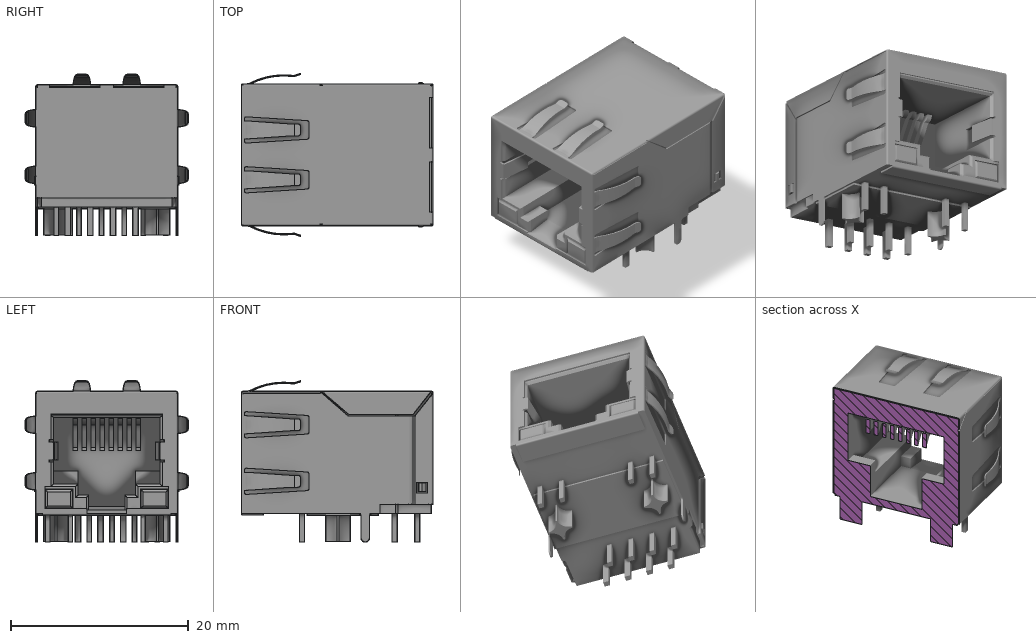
import cadquery as cq
import math


LENGTH = 21.6
WIDTH = 16.01
HEIGHT = 13.79
SHEET = 0.2
BEND_RADIUS = 0.22
PIN_BOTTOM = -3.22

HALF_WIDTH = WIDTH / 2
INNER_HALF = HALF_WIDTH - SHEET
INNER_TOP = HEIGHT - SHEET
INNER_REAR = LENGTH - SHEET
SIDES = (-1, 1)

REAR_CUT_X = 15.62
REAR_CUT_Z = 1.04

SEAM = 0.15
FLAP_FRONT_X = 8.85
FLAP_CORNER_X = 12.04
FLAP_REAR_CORNER_X = 19.35
FLAP_BOTTOM_Z = 11.15
FRONT_SEAM = 0.06

JOGGLE_START_X = 18.9
JOGGLE_BEND_X = 19.1
JOGGLE_BEND_DROP = 0.05
JOGGLE_END_X = 19.36
REAR_FLAP_X = 19.55
OVERLAP_END_X = 21.1

SNAP_WINDOW_X = 19.75
SNAP_WINDOW_Z = 2.31
SNAP_WINDOW_SIZE = 1.2
SNAP_BOTTOM_Z = 2.46
SNAP_HEIGHT = 1.0
SNAP_X = 19.9
SNAP_CREST_X = 20.01
SNAP_CREST_END_X = 20.34
SNAP_END_X = 20.79
SNAP_RISE = 0.35

FINGER_SIDE_Z = (10.0, 3.63)
FINGER_TOP_Y = (-2.8, 2.8)
FINGER_SHEET = 0.13
FINGER_TIP_RISE = 1.19
FINGER_ROOT_X = 0.65
FINGER_ROOT_HALF = 1.02
FINGER_BOW_X = 1.0
FINGER_BOW_RISE = 0.09
FINGER_MIDDLE_X = 2.8
FINGER_MIDDLE_RISE = 0.78
FINGER_NECK_X = 5.58
FINGER_NECK_RISE = 0.97
FINGER_DIP_X = 5.96
FINGER_DIP_RISE = 0.95
FINGER_TIP_X = 6.68
FINGER_TIP_HALF = 0.67
FINGER_TIP_RADIUS = 0.3
FINGER_WINDOW_FRONT_X = 0.35
FINGER_WINDOW_REAR_X = 7.6
FINGER_WINDOW_FRONT_HALF = 1.5
FINGER_WINDOW_REAR_HALF = 1.04
FINGER_WINDOW_RADIUS = 0.22

OPENING_HALF = 6.29
OPENING_TOP = 11.24
LIGHT_HALF = 6.98
LIGHT_INNER = 3.8
LIGHT_BOTTOM = 0.55
LIGHT_TOP = 2.75
OPENING_SHOULDER = 3.03
MOUTH_CHAMFER = 0.25
CAVITY_HALF = OPENING_HALF - MOUTH_CHAMFER
CAVITY_TOP = 10.83
LEDGE_Z = 3.3
LEDGE_HALF = 3.25
STEP_Z = 2.07
STEP_HALF = 2.03
FLOOR_Z = 0.8
RAMP_FRONT_Z = 0.39
STEP_LENGTH = 3.1
SHOULDER_X = 9.5
SHOULDER_Z = 4.78
CAVITY_REAR_X = 12.1

TONGUE_BOTTOM = 6.05
TONGUE_TOP = 8.05
TONGUE_RELIEF = 0.25
TONGUE_RELIEF_HALF = 6.48
TONGUE_LENGTH = 3.45
TONGUE_ROOT_X = 0.06
TONGUE_ROOT_Y = 5.88
TONGUE_TIP_Y = 5.47
TONGUE_SLOT_END_X = 5.62

LIGHT_GAP = 0.06
LIGHT_BEVEL = 0.24
LIGHT_POCKET_X = 0.55

CONTACT_COUNT = 8
CONTACT_PITCH = 1.02
CONTACT_WIDTH = 0.55
CONTACT_TOP = 10.72
CONTACT_TIP_Z = 7.13
CONTACT_TIP_HEIGHT = 0.3
CONTACT_BEND = 0.73
CONTACT_FRONT_X = 9.3
CONTACT_TIP_X = 11.78

WAIST_X = 17.4
WAIST_END_X = 17.68
WAIST_DEPTH = 0.45
PAD_FRONT_X = 7.41
PAD_REAR_X = 15.43
PAD_HALF = 7.74
PAD_THICKNESS = 0.22
POST_X = 10.9
POST_Y = 5.7
POST_RADIUS = 1.4
POST_RIB = 0.22
POST_BOTTOM = -3.15

PIN_LENGTH_X = 0.6
LIGHT_PIN_X = 6.83
LIGHT_PIN_Y = (4.1, 6.65)
LIGHT_PIN_WIDTH = 0.52
FRONT_ROW_X = 17.27
FRONT_ROW_Y = 1.97
FRONT_ROW_WIDTH = 0.55
REAR_ROW_X = 19.82
REAR_ROW_Y = 3.25
REAR_ROW_WIDTH = 0.65
ROW_PITCH = 2.55
PINS_PER_ROW = 4

LEG_X = 13.95
LEG_WIDTH = 1.0
LEG_FLARE = 0.24
BOTTOM_FLAP_LENGTH = 2.49
BOTTOM_FLAP_HALF = 7.26
BOTTOM_FLAP_BEND = 0.17
LIP_HALF = 2.23

REAR_SLOT_X = 21.22
REAR_SLOT_INNER_Y = 0.78
REAR_SLOT_OUTER_Y = 6.45
REAR_SLOT_DEPTH = 0.3


def box(x0, x1, y0, y1, z0, z1):
    return cq.Workplane("XY").box(x1 - x0, y1 - y0, z1 - z0, centered=False).translate((x0, y0, z0))


def side_prism(points, y0, y1):
    """Extrude an outline of (x, z) points from y0 to y1."""
    return cq.Workplane("XZ", origin=(0, y0, 0)).polyline(points).close().extrude(y0 - y1)


def front_prism(points, x0, x1):
    """Extrude an outline of (y, z) points from x0 to x1."""
    return cq.Workplane("YZ", origin=(x0, 0, 0)).polyline(points).close().extrude(x1 - x0)


def plan_prism(points, z0, z1):
    """Extrude an outline of (x, y) points from z0 to z1."""
    return cq.Workplane("XY", origin=(0, 0, z0)).polyline(points).close().extrude(z1 - z0)


def both_sides(shape):
    """The shape on the -Y side together with its mirror image on the +Y side."""
    return shape.union(shape.mirror("XZ"))


def mirrored_outline(half):
    """Close a half outline of (y, z) points, listed from bottom to top, across Y = 0."""
    return half + [(-y, z) for y, z in reversed(half)]


def finger_window():
    """U-shaped slot around a finger, cut in a panel lying on Z = 0."""
    outline = [
        (FINGER_WINDOW_FRONT_X, -FINGER_WINDOW_FRONT_HALF),
        (FINGER_WINDOW_REAR_X, -FINGER_WINDOW_REAR_HALF),
        (FINGER_WINDOW_REAR_X, FINGER_WINDOW_REAR_HALF),
        (FINGER_WINDOW_FRONT_X, FINGER_WINDOW_FRONT_HALF),
    ]
    window = plan_prism(outline, -2 * SHEET, SHEET).edges("|Z").fillet(FINGER_WINDOW_RADIUS)
    root = box(0, FINGER_ROOT_X, -FINGER_ROOT_HALF, FINGER_ROOT_HALF, -2 * SHEET, SHEET)
    return window.cut(root)


def finger():
    """Bowed spring finger rising from a panel whose outer face lies on Z = 0."""
    path = [
        (FINGER_ROOT_X, 0),
        (FINGER_BOW_X, FINGER_BOW_RISE),
        (FINGER_MIDDLE_X, FINGER_MIDDLE_RISE),
        (FINGER_NECK_X, FINGER_NECK_RISE),
        (FINGER_DIP_X, FINGER_DIP_RISE),
        (FINGER_TIP_X, FINGER_TIP_RISE),
    ]
    root, bow, middle, neck, dip, tip = path
    low_root, low_bow, low_middle, low_neck, low_dip, low_tip = [(x, z - FINGER_SHEET) for x, z in path]
    profile = (
        cq.Workplane("XZ")
        .moveTo(FINGER_ROOT_X - SHEET, 0)
        .lineTo(*root).lineTo(*bow).threePointArc(middle, neck).lineTo(*dip).lineTo(*tip)
        .lineTo(*low_tip).lineTo(*low_dip).lineTo(*low_neck).threePointArc(low_middle, low_bow)
        .lineTo(*low_root)
        .lineTo(FINGER_ROOT_X - SHEET, -FINGER_SHEET)
        .close()
        .extrude(FINGER_ROOT_HALF, both=True)
    )
    plan = [
        (FINGER_ROOT_X - SHEET, -FINGER_ROOT_HALF),
        (FINGER_ROOT_X, -FINGER_ROOT_HALF),
        (FINGER_NECK_X, -FINGER_TIP_HALF),
        (FINGER_TIP_X, -FINGER_TIP_HALF),
        (FINGER_TIP_X, FINGER_TIP_HALF),
        (FINGER_NECK_X, FINGER_TIP_HALF),
        (FINGER_ROOT_X, FINGER_ROOT_HALF),
        (FINGER_ROOT_X - SHEET, FINGER_ROOT_HALF),
    ]
    trim = plan_prism(plan, -SHEET, FINGER_TIP_RISE).edges("|Z and >X").fillet(FINGER_TIP_RADIUS)
    return profile.intersect(trim)


def on_top(shape, y):
    """Move a shape built on Z = 0 onto the top panel."""
    return shape.translate((0, y, HEIGHT))


def on_side(shape, side, z):
    """Turn a shape built on Z = 0 outward and move it onto a side panel."""
    return shape.rotate((0, 0, 0), (1, 0, 0), -90 * side).translate((0, side * HALF_WIDTH, z))


def add_fingers(shield):
    for y in FINGER_TOP_Y:
        shield = shield.cut(on_top(finger_window(), y)).union(on_top(finger(), y))
    for side in SIDES:
        for z in FINGER_SIDE_Z:
            shield = shield.cut(on_side(finger_window(), side, z)).union(on_side(finger(), side, z))
    return shield


def shield_blank():
    """Five-sided sheet box, open underneath and shortened at the lower rear."""
    outer = box(0, LENGTH, -HALF_WIDTH, HALF_WIDTH, 0, HEIGHT)
    outer = outer.edges("|Z or >Z").fillet(BEND_RADIUS)
    inner = box(SHEET, INNER_REAR, -INNER_HALF, INNER_HALF, 0, INNER_TOP)
    lower_rear = box(REAR_CUT_X, LENGTH, -HALF_WIDTH, HALF_WIDTH, 0, REAR_CUT_Z)
    return outer.cut(inner).cut(lower_rear)


def bottom_flap():
    """Flap folded back from the front panel beneath the housing."""
    flap = box(0, BOTTOM_FLAP_LENGTH, -BOTTOM_FLAP_HALF, BOTTOM_FLAP_HALF, -SHEET, 0)
    return flap.edges("|Y and <X and <Z").fillet(BOTTOM_FLAP_BEND)


def front_opening():
    """Opening of the front panel: jack mouth, indicator windows and tongue reliefs."""
    half = [
        (LIP_HALF, 0),
        (LIP_HALF, LIGHT_BOTTOM),
        (LIGHT_HALF, LIGHT_BOTTOM),
        (LIGHT_HALF, OPENING_SHOULDER),
        (OPENING_HALF, OPENING_SHOULDER),
        (OPENING_HALF, TONGUE_BOTTOM),
        (CAVITY_HALF, TONGUE_BOTTOM),
        (CAVITY_HALF, TONGUE_TOP),
        (OPENING_HALF, TONGUE_TOP),
        (OPENING_HALF, OPENING_TOP),
    ]
    relief_centres = [
        (0, TONGUE_BOTTOM - TONGUE_RELIEF / 2),
        (0, TONGUE_TOP + TONGUE_RELIEF / 2),
    ]
    reliefs = (
        cq.Workplane("YZ").pushPoints(relief_centres)
        .slot2D(2 * TONGUE_RELIEF_HALF, TONGUE_RELIEF).extrude(SHEET)
    )
    return front_prism(mirrored_outline(half), 0, SHEET).union(reliefs)


def contact_tongue():
    """Tongue on the -Y side, slanting inward behind the front panel."""
    outline = [
        (TONGUE_ROOT_X, -TONGUE_ROOT_Y - SHEET),
        (TONGUE_ROOT_X, -TONGUE_ROOT_Y),
        (TONGUE_LENGTH, -TONGUE_TIP_Y),
        (TONGUE_LENGTH, -TONGUE_TIP_Y - SHEET),
    ]
    return plan_prism(outline, TONGUE_BOTTOM, TONGUE_TOP)


def top_flap_seam():
    """Seam around the part of the top panel that is folded down over the -Y side."""
    outline = [
        (FLAP_FRONT_X, HEIGHT),
        (FLAP_CORNER_X, FLAP_BOTTOM_Z - SEAM),
        (REAR_FLAP_X, FLAP_BOTTOM_Z - SEAM),
        (LENGTH, INNER_TOP),
        (LENGTH, HEIGHT),
        (INNER_REAR, HEIGHT),
        (FLAP_REAR_CORNER_X, FLAP_BOTTOM_Z),
        (FLAP_CORNER_X + SEAM / 2, FLAP_BOTTOM_Z),
        (FLAP_FRONT_X + SEAM, HEIGHT),
    ]
    return side_prism(outline, -HALF_WIDTH, -INNER_HALF)


def front_seam():
    """Slit along the -Y top edge, ahead of the folded flap."""
    return box(SHEET, FLAP_FRONT_X, -HALF_WIDTH, -INNER_HALF, INNER_TOP - FRONT_SEAM, INNER_TOP)


def joggled_panel():
    """Rear end of the -Y side panel, stepped inward to lie beneath the rear flap."""
    outline = [
        (JOGGLE_START_X - SHEET, -INNER_HALF),
        (JOGGLE_START_X - SHEET, -HALF_WIDTH),
        (JOGGLE_START_X, -HALF_WIDTH),
        (JOGGLE_BEND_X, -HALF_WIDTH + JOGGLE_BEND_DROP),
        (JOGGLE_END_X, -INNER_HALF),
        (OVERLAP_END_X, -INNER_HALF),
        (OVERLAP_END_X, -INNER_HALF + SHEET),
        (JOGGLE_END_X - SHEET, -INNER_HALF + SHEET),
        (JOGGLE_START_X - SHEET / 2, -INNER_HALF),
    ]
    return plan_prism(outline, REAR_CUT_Z, FLAP_BOTTOM_Z - SEAM)


def snap_bump():
    outline = [
        (SNAP_X, -INNER_HALF),
        (SNAP_CREST_X, -INNER_HALF - SNAP_RISE),
        (SNAP_CREST_END_X, -INNER_HALF - SNAP_RISE),
        (SNAP_END_X, -INNER_HALF),
    ]
    return plan_prism(outline, SNAP_BOTTOM_Z, SNAP_BOTTOM_Z + SNAP_HEIGHT)


def rear_overlap_cut():
    """Gap ahead of the -Y rear flap and the snap window in that flap."""
    gap = box(JOGGLE_START_X, REAR_FLAP_X, -HALF_WIDTH, -INNER_HALF, REAR_CUT_Z, FLAP_BOTTOM_Z - SEAM)
    window = box(
        SNAP_WINDOW_X, SNAP_WINDOW_X + SNAP_WINDOW_SIZE,
        -HALF_WIDTH, -INNER_HALF,
        SNAP_WINDOW_Z, SNAP_WINDOW_Z + SNAP_WINDOW_SIZE,
    )
    return gap.union(window)


def leg():
    """Round-ended solder leg at the lower edge of the -Y side panel."""
    half = LEG_WIDTH / 2
    root = half + LEG_FLARE
    flare_mid = LEG_FLARE * (1 - math.sqrt(0.5))
    return (
        cq.Workplane("XZ", origin=(LEG_X, -INNER_HALF, 0))
        .moveTo(-root, 0)
        .threePointArc((-half - flare_mid, -flare_mid), (-half, -LEG_FLARE))
        .lineTo(-half, PIN_BOTTOM + half)
        .threePointArc((0, PIN_BOTTOM), (half, PIN_BOTTOM + half))
        .lineTo(half, -LEG_FLARE)
        .threePointArc((half + flare_mid, -flare_mid), (root, 0))
        .close()
        .extrude(SHEET)
    )


def rear_slot():
    """Cut-out in the top rear bend on the -Y side."""
    return box(
        REAR_SLOT_X, LENGTH,
        -REAR_SLOT_OUTER_Y, -REAR_SLOT_INNER_Y,
        HEIGHT - REAR_SLOT_DEPTH, HEIGHT,
    )


def make_shield():
    shield = shield_blank().union(bottom_flap())
    shield = shield.cut(front_opening()).union(both_sides(contact_tongue()))
    for cutter in (top_flap_seam(), front_seam(), rear_overlap_cut(), rear_slot()):
        shield = shield.cut(both_sides(cutter))
    for addition in (joggled_panel(), snap_bump(), leg()):
        shield = shield.union(both_sides(addition))
    return add_fingers(shield)


def housing_block():
    waist_half = INNER_HALF - WAIST_DEPTH
    outline = [
        (SHEET, -INNER_HALF),
        (WAIST_X, -INNER_HALF),
        (WAIST_END_X, -waist_half),
        (INNER_REAR, -waist_half),
        (INNER_REAR, waist_half),
        (WAIST_END_X, waist_half),
        (WAIST_X, INNER_HALF),
        (SHEET, INNER_HALF),
    ]
    block = plan_prism(outline, 0, INNER_TOP)
    lip = box(0, SHEET, -LIP_HALF, LIP_HALF, 0, RAMP_FRONT_Z)
    return block.union(lip)


def cavity_outline(growth=0.0):
    """Stepped jack outline, enlarged all round except at its lowest edge."""
    half = [
        (STEP_HALF + growth, RAMP_FRONT_Z),
        (STEP_HALF + growth, STEP_Z - growth),
        (LEDGE_HALF + growth, STEP_Z - growth),
        (LEDGE_HALF + growth, LEDGE_Z - growth),
        (CAVITY_HALF + growth, LEDGE_Z - growth),
        (CAVITY_HALF + growth, CAVITY_TOP + growth),
    ]
    return mirrored_outline(half)


def cavity():
    chamfered_mouth = (
        cq.Workplane("YZ", origin=(SHEET, 0, 0))
        .polyline(cavity_outline(MOUTH_CHAMFER)).close()
        .workplane(offset=MOUTH_CHAMFER)
        .polyline(cavity_outline()).close()
        .loft(ruled=True)
    )
    front = front_prism(cavity_outline(), SHEET, STEP_LENGTH)
    lower = box(STEP_LENGTH, CAVITY_REAR_X, -LEDGE_HALF, LEDGE_HALF, FLOOR_Z, CAVITY_TOP)
    upper = box(SHEET, SHOULDER_X, -CAVITY_HALF, CAVITY_HALF, LEDGE_Z, CAVITY_TOP)
    rear = box(SHOULDER_X, CAVITY_REAR_X, -CAVITY_HALF, CAVITY_HALF, SHOULDER_Z, CAVITY_TOP)
    return chamfered_mouth.union(front).union(lower).union(upper).union(rear)


def floor_ramp():
    """Wedge at the front of the cavity floor, rising toward the rear."""
    outline = [(SHEET, RAMP_FRONT_Z), (STEP_LENGTH, FLOOR_Z), (STEP_LENGTH, RAMP_FRONT_Z)]
    return side_prism(outline, -STEP_HALF, STEP_HALF)


def tongue_slot():
    """Clearance behind the -Y contact tongue."""
    return box(
        SHEET, TONGUE_SLOT_END_X,
        -TONGUE_RELIEF_HALF, -CAVITY_HALF,
        TONGUE_BOTTOM - TONGUE_RELIEF, TONGUE_TOP + TONGUE_RELIEF,
    )


def light_pocket():
    return box(SHEET, LIGHT_POCKET_X, -LIGHT_HALF, -LIGHT_INNER, LIGHT_BOTTOM, LIGHT_TOP)


def light():
    """Indicator window with bevelled edges, standing in its pocket on the -Y side."""
    pad = box(
        LIGHT_GAP, LIGHT_POCKET_X,
        -LIGHT_HALF + LIGHT_GAP, -LIGHT_INNER - LIGHT_GAP,
        LIGHT_BOTTOM + LIGHT_GAP, LIGHT_TOP - LIGHT_GAP,
    )
    return pad.faces("<X").edges().chamfer(LIGHT_BEVEL)


def contact():
    """Contact wire leaving the rear wall, bending and slanting back downward."""
    tip_top = CONTACT_TIP_Z + CONTACT_TIP_HEIGHT
    bend_bottom = CONTACT_TOP - CONTACT_BEND
    bend_inset = CONTACT_BEND * (1 - math.sqrt(0.5))
    return (
        cq.Workplane("XZ", origin=(0, CONTACT_WIDTH / 2, 0))
        .moveTo(CAVITY_REAR_X, CONTACT_TOP)
        .lineTo(CONTACT_FRONT_X, CONTACT_TOP)
        .threePointArc((CONTACT_FRONT_X + bend_inset, bend_bottom + bend_inset),
                       (CONTACT_FRONT_X + CONTACT_BEND, bend_bottom))
        .lineTo(CONTACT_TIP_X, tip_top)
        .lineTo(CONTACT_TIP_X, CONTACT_TIP_Z)
        .lineTo(CAVITY_REAR_X, CONTACT_TIP_Z)
        .close()
        .extrude(CONTACT_WIDTH)
    )


def standoff_pad():
    """Strip under the housing that holds it clear of the board."""
    return box(PAD_FRONT_X, PAD_REAR_X, -PAD_HALF, PAD_HALF, -PAD_THICKNESS, 0)


def post():
    """Locating post with four concave flutes that leave a cross of thin ribs."""
    height = -POST_BOTTOM
    flute_offset = POST_RADIUS
    flute_radius = flute_offset - POST_RIB / 2
    corners = [(x * flute_offset, y * flute_offset) for x in SIDES for y in SIDES]
    rod = cq.Workplane("XY", origin=(POST_X, -POST_Y, POST_BOTTOM)).circle(POST_RADIUS).extrude(height)
    flutes = (
        cq.Workplane("XY", origin=(POST_X, -POST_Y, POST_BOTTOM))
        .pushPoints(corners).circle(flute_radius).extrude(height)
    )
    return rod.cut(flutes)


def pin(x, y, width):
    half_length = PIN_LENGTH_X / 2
    return box(x - half_length, x + half_length, y - width / 2, y + width / 2, PIN_BOTTOM, 0)


def solder_pins():
    pins = [pin(LIGHT_PIN_X, side * y, LIGHT_PIN_WIDTH) for side in SIDES for y in LIGHT_PIN_Y]
    for i in range(PINS_PER_ROW):
        pins.append(pin(FRONT_ROW_X, FRONT_ROW_Y - i * ROW_PITCH, FRONT_ROW_WIDTH))
        pins.append(pin(REAR_ROW_X, REAR_ROW_Y - i * ROW_PITCH, REAR_ROW_WIDTH))
    return pins


def make_housing():
    housing = housing_block().cut(cavity()).union(floor_ramp())
    for cutter in (tongue_slot(), light_pocket()):
        housing = housing.cut(both_sides(cutter))
    housing = housing.union(both_sides(light())).union(standoff_pad()).union(both_sides(post()))
    for i in range(CONTACT_COUNT):
        y = (i - (CONTACT_COUNT - 1) / 2) * CONTACT_PITCH
        housing = housing.union(contact().translate((0, y, 0)))
    for solder_pin in solder_pins():
        housing = housing.union(solder_pin)
    return housing


shield = make_shield()
housing = make_housing()
result = cq.Compound.makeCompound([*shield.solids().vals(), *housing.solids().vals()])